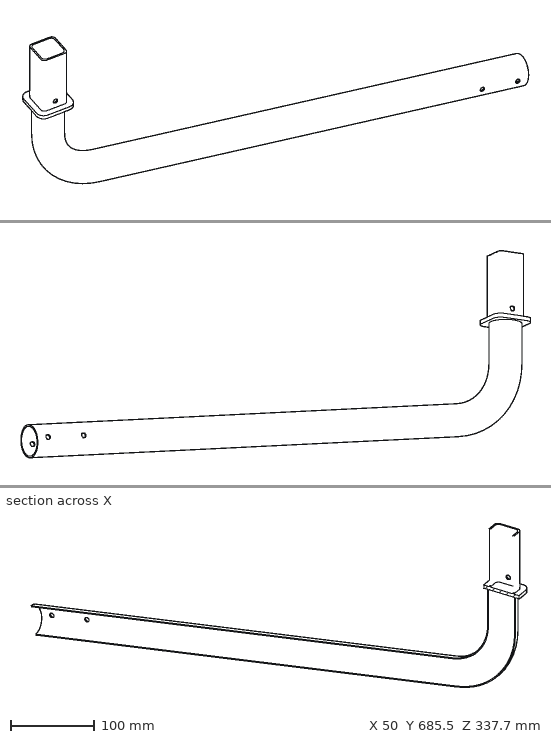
import cadquery as cq
import math

TUBE_DIAMETER = 40.0
TUBE_WALL = 2.0
LEG_LENGTH = 50.0
BEND_RADIUS = 80.0
ARM_LENGTH = 600.0
ARM_SLOPE = 10.0

FLANGE_SIDE = 50.0
FLANGE_THICKNESS = 5.0
FLANGE_CORNER_RADIUS = 10.0

SOCKET_SIDE = 35.0
SOCKET_WALL = 2.0
SOCKET_HEIGHT = 80.0
SOCKET_CORNER_RADIUS = 5.0

HOLE_DIAMETER = 6.0
SOCKET_HOLE_HEIGHT = 10.0
ARM_HOLE_END_DISTANCE = 15.0
ARM_HOLE_SPACING = 50.0
ARM_HOLE_COUNT = 2

slope = math.radians(ARM_SLOPE)
arm_direction = (math.cos(slope), -math.sin(slope))
half_bend = (math.pi / 2 - slope) / 2


def bend_point(angle):
    """Point (y, z) on the bend centreline after turning by the given angle."""
    y = BEND_RADIUS * (1 - math.cos(angle))
    z = -LEG_LENGTH - BEND_RADIUS * math.sin(angle)
    return (y, z)


bend_middle = bend_point(half_bend)
bend_end = bend_point(2 * half_bend)


def arm_point(distance):
    """Point (y, z) on the arm centreline at a distance from the bend."""
    y = bend_end[0] + distance * arm_direction[0]
    z = bend_end[1] + distance * arm_direction[1]
    return (y, z)


def make_tube():
    """Hollow tube, open at the free end of the arm."""
    path = (
        cq.Workplane("YZ")
        .lineTo(0, -LEG_LENGTH)
        .threePointArc(bend_middle, bend_end)
        .lineTo(*arm_point(ARM_LENGTH))
    )
    outer_radius = TUBE_DIAMETER / 2
    section = cq.Workplane("XY").circle(outer_radius).circle(outer_radius - TUBE_WALL)
    return section.sweep(path)


def rounded_square(side, corner_radius, bottom, height):
    block = cq.Workplane("XY").workplane(offset=bottom).rect(side, side).extrude(height)
    return block.edges("|Z").fillet(corner_radius)


def make_flange():
    return rounded_square(FLANGE_SIDE, FLANGE_CORNER_RADIUS, 0, FLANGE_THICKNESS)


def make_socket():
    outer = rounded_square(SOCKET_SIDE, SOCKET_CORNER_RADIUS, FLANGE_THICKNESS, SOCKET_HEIGHT)
    bore_side = SOCKET_SIDE - 2 * SOCKET_WALL
    bore = rounded_square(bore_side, SOCKET_CORNER_RADIUS, FLANGE_THICKNESS, SOCKET_HEIGHT)
    return outer.cut(bore)


def make_cross_holes():
    centers = [(0, FLANGE_THICKNESS + SOCKET_HOLE_HEIGHT)]
    for index in range(ARM_HOLE_COUNT):
        end_distance = ARM_HOLE_END_DISTANCE + index * ARM_HOLE_SPACING
        centers.append(arm_point(ARM_LENGTH - end_distance))
    drill_reach = FLANGE_SIDE / 2
    return (
        cq.Workplane("YZ")
        .pushPoints(centers)
        .circle(HOLE_DIAMETER / 2)
        .extrude(drill_reach, both=True)
    )


result = make_tube().union(make_flange()).union(make_socket()).cut(make_cross_holes())